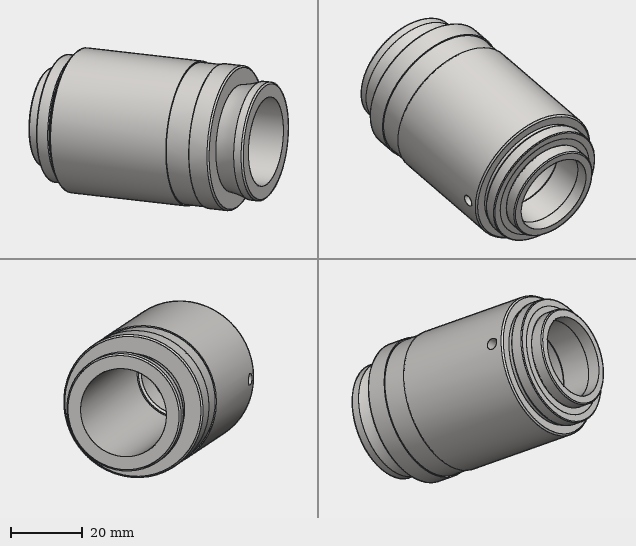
import cadquery as cq

LENGTH = 65.9

HOUSING_DIA = 40.65
HOUSING_START = 8.95
HOUSING_END = 57.1
HOUSING_CHAMFER = 0.45
COLLAR_DIA = 35.85
COLLAR_START = 4.0
COLLAR_END = 7.8
COLLAR_CHAMFER = 0.25
NECK_DIA = 34.8
BAND_DIA = 39.9
BAND_START = 44.2
BAND_END = 51.1

SIDE_HOLE_X = 12.65
SIDE_HOLE_DIA = 3.3

NOSE_DIA = 27.75
NOSE_END = 3.7
NOSE_CHAMFER = 0.3

BOSS_DIA = 26.95
FLANGE_DIA = 31.5
FLANGE_END = COLLAR_END
SLEEVE_DIA = 30.2
FLARE_MID_X = 60.15
FLARE_MID_DIA = 31.2
RIM_DIA = 33.35
RIM_START = 63.2
RIM_CHAMFER = 0.45

BORE_DIA = 23.0
REAR_BORE_DIA = 25.05
REAR_BORE_START = 13.2
BORE_EDGE_CHAMFER = 0.65


def cylinder(diameter, start, end):
    """Solid cylinder along X between two stations."""
    return cq.Workplane("YZ", origin=(start, 0, 0)).circle(diameter / 2).extrude(end - start)


def make_housing():
    body = cylinder(HOUSING_DIA, HOUSING_START, HOUSING_END).edges().chamfer(HOUSING_CHAMFER)
    band = cylinder(HOUSING_DIA, BAND_START, BAND_END).cut(cylinder(BAND_DIA, BAND_START, BAND_END))
    collar = cylinder(COLLAR_DIA, COLLAR_START, COLLAR_END).edges().chamfer(COLLAR_CHAMFER)
    neck = cylinder(NECK_DIA, COLLAR_START + COLLAR_CHAMFER, HOUSING_START)
    body = body.cut(band).union(neck).union(collar)

    side_hole = (
        cq.Workplane("XZ", origin=(SIDE_HOLE_X, HOUSING_DIA / 2, 0))
        .circle(SIDE_HOLE_DIA / 2)
        .extrude(HOUSING_DIA / 2)
    )
    body = body.cut(side_hole)

    body = body.cut(cylinder(FLANGE_DIA, COLLAR_START, FLANGE_END))
    return body.cut(cylinder(SLEEVE_DIA, FLANGE_END, HOUSING_END))


def make_nose_ring():
    nose = cylinder(NOSE_DIA, 0, NOSE_END).edges("<X").chamfer(NOSE_CHAMFER)
    return nose.cut(cylinder(BORE_DIA, 0, NOSE_END))


def make_sleeve():
    profile = (
        cq.Workplane("XY")
        .moveTo(NOSE_END, BORE_DIA / 2)
        .lineTo(NOSE_END, BOSS_DIA / 2)
        .lineTo(COLLAR_START, BOSS_DIA / 2)
        .lineTo(COLLAR_START, FLANGE_DIA / 2)
        .lineTo(FLANGE_END, FLANGE_DIA / 2)
        .lineTo(FLANGE_END, SLEEVE_DIA / 2)
        .lineTo(HOUSING_END, SLEEVE_DIA / 2)
        .threePointArc((FLARE_MID_X, FLARE_MID_DIA / 2), (RIM_START, RIM_DIA / 2))
        .lineTo(LENGTH - RIM_CHAMFER, RIM_DIA / 2)
        .lineTo(LENGTH, RIM_DIA / 2 - RIM_CHAMFER)
        .lineTo(LENGTH, REAR_BORE_DIA / 2)
        .lineTo(REAR_BORE_START, REAR_BORE_DIA / 2)
        .lineTo(REAR_BORE_START, BORE_DIA / 2 + BORE_EDGE_CHAMFER)
        .lineTo(REAR_BORE_START - BORE_EDGE_CHAMFER, BORE_DIA / 2)
        .close()
    )
    return profile.revolve(360, (0, 0, 0), (1, 0, 0))


housing = make_housing()
nose_ring = make_nose_ring()
sleeve = make_sleeve()

result = cq.Compound.makeCompound([housing.val(), nose_ring.val(), sleeve.val()])